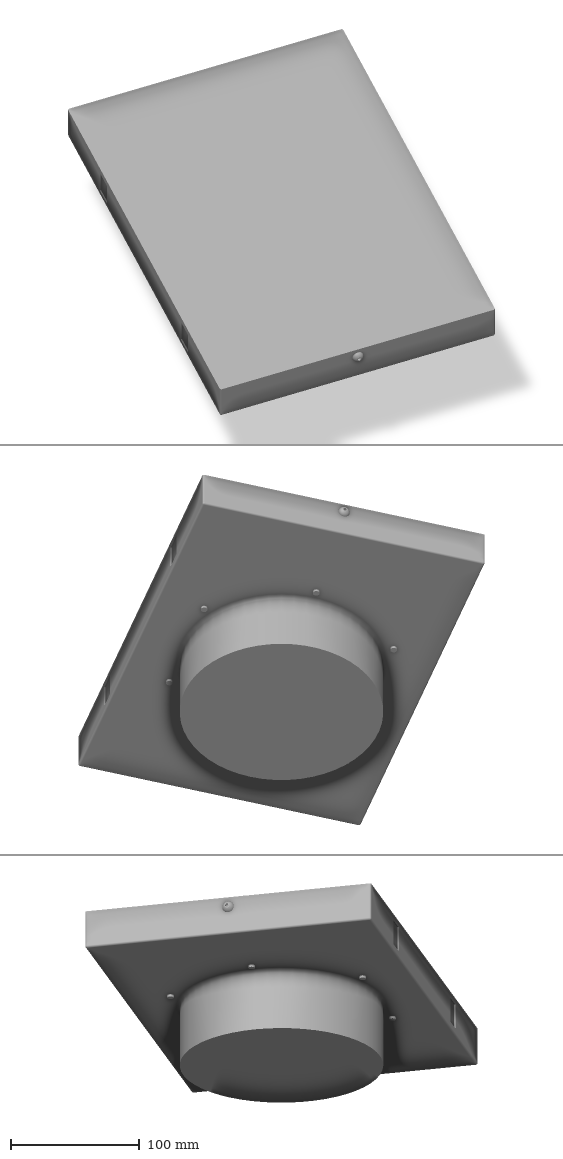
import cadquery as cq
import math

overall_length = 326.5
plate_width = 230.0
overall_height = 79.5

plate_height = 30.0
plate_edge_radius = 1.47

button_height = 3.3
button_radius = 4.5
button_tip_radius = 2.0
button_drop = 7.8
socket_across_corners = 3.0
socket_depth = 2.0

spigot_radius = 79.0
spigot_fillet = 3.0

screw_count = 6
screw_circle_radius = 89.0
screw_head_radius = 2.5
screw_head_height = 2.0

recess_width = 15.0
recess_height = 20.0
recess_depth = 1.0
recess_offset = 85.0
recess_top_gap = 5.2

plate_length = overall_length - 2 * button_height
spigot_length = overall_height - plate_height
button_z = plate_height - button_drop
recess_z = plate_height - recess_top_gap - recess_height / 2


def make_plate():
    """Box with rounded upright and bottom edges and a sharp top rim."""
    block = cq.Workplane("XY").box(plate_length, plate_width, plate_height, centered=(True, True, False))
    return block.edges("|Z").fillet(plate_edge_radius).faces("<Z").edges().fillet(plate_edge_radius)


def make_spigot():
    """Solid cylinder that flares into the plate with a concave fillet."""
    flare_middle = spigot_fillet * (1 - math.sqrt(0.5))
    profile = (
        cq.Workplane("XZ")
        .moveTo(0, 0)
        .lineTo(spigot_radius + spigot_fillet, 0)
        .threePointArc((spigot_radius + flare_middle, -flare_middle), (spigot_radius, -spigot_fillet))
        .lineTo(spigot_radius, -spigot_length)
        .lineTo(0, -spigot_length)
        .close()
    )
    return profile.revolve(360, (0, 0, 0), (0, 1, 0))


def make_screw_heads():
    """Flat round heads, evenly spaced, hanging below the plate."""
    return (
        cq.Workplane("XY")
        .polarArray(screw_circle_radius, 0, 360, screw_count)
        .circle(screw_head_radius)
        .extrude(-screw_head_height)
    )


def make_button(side):
    """Domed head with a flat tip and a hexagon socket, on the plate end at +X or -X."""
    dome_centre = (button_height**2 + button_tip_radius**2 - button_radius**2) / (2 * button_height)
    dome_radius = math.hypot(button_radius, dome_centre)
    middle_height = button_height / 2
    middle_radius = math.sqrt(dome_radius**2 - (middle_height - dome_centre) ** 2)
    head = (
        cq.Workplane("XY")
        .moveTo(0, 0)
        .lineTo(0, button_radius)
        .threePointArc((middle_height, middle_radius), (button_height, button_tip_radius))
        .lineTo(button_height, 0)
        .close()
        .revolve(360, (0, 0, 0), (1, 0, 0))
    )
    tip_plane = cq.Workplane("YZ", origin=(button_height, 0, 0))
    socket = tip_plane.polygon(6, socket_across_corners).extrude(-socket_depth)
    turn = 0 if side > 0 else 180
    button = head.cut(socket).rotate((0, 0, 0), (0, 0, 1), turn)
    return button.translate((side * plate_length / 2, 0, button_z))


def make_recess(x, side):
    """Shallow rectangular block to cut from the face at +Y or -Y."""
    y = side * (plate_width - recess_depth) / 2
    return cq.Workplane("XY").box(recess_width, recess_depth, recess_height).translate((x, y, recess_z))


result = make_plate().union(make_spigot()).union(make_screw_heads())
for side in (-1, 1):
    result = result.union(make_button(side))
    for x in (-recess_offset, recess_offset):
        result = result.cut(make_recess(x, side))